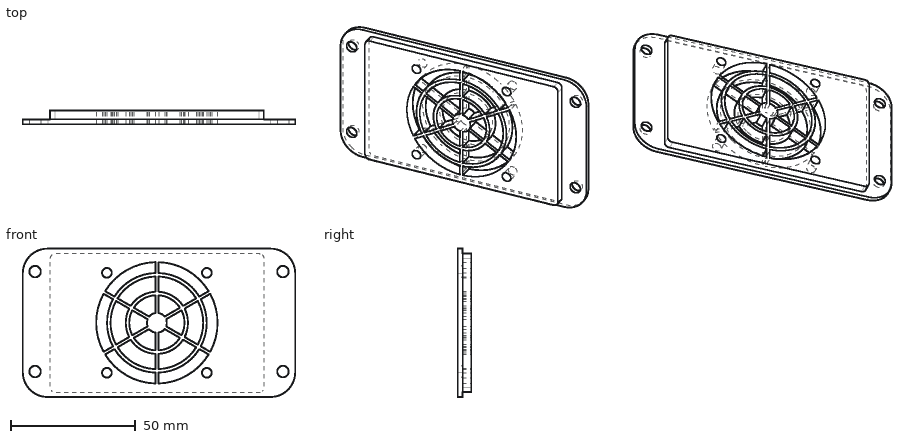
import cadquery as cq

plate_length = 109.15
plate_height = 59.5
plate_thickness = 2.0
plate_corner_radius = 10.0

block_length = 85.6
block_height = 55.5
block_thickness = 3.6
block_corner_radius = 2.0

fan_center_x = -0.85
total_thickness = plate_thickness + block_thickness

mount_center_z = 0.5
mount_hole_diameter = 4.5
mount_spacing_x = 99.2
mount_spacing_z = 40.0

fan_hole_diameter = 3.8
fan_hole_spacing = 40.0

opening_diameter = 48.5
ring_outer_diameters = (25.0, 40.0)
ring_width = 1.5
hub_diameter = 8.0
spoke_width = 1.3
spoke_bar_count = 3
spoke_bar_step = 180.0 / spoke_bar_count


def sketch_plane(center_x=0.0, y=0.0):
    """XZ workplane whose normal points to +Y; its local x runs along +X, local y along -Z."""
    return cq.Workplane(cq.Plane(origin=(center_x, y, 0), xDir=(1, 0, 0), normal=(0, 1, 0)))


def rounded_slab(center_x, y, length, height, thickness, corner_radius):
    slab = sketch_plane(center_x, y).rect(length, height).extrude(thickness)
    return slab.edges("|Y").fillet(corner_radius)


def disc(diameter):
    """Cylinder on the fan axis through the full thickness."""
    return sketch_plane(fan_center_x).circle(diameter / 2).extrude(total_thickness)


def hole_pattern(center_x, spacing_x, spacing_z, diameter):
    """Four through holes on the corners of a rectangle."""
    centers = sketch_plane(center_x).rect(spacing_x, spacing_z, forConstruction=True).vertices()
    return centers.circle(diameter / 2).extrude(total_thickness)


def fan_guard():
    """Hub, concentric rings and diametral spoke bars, trimmed to the fan opening."""
    guard = disc(hub_diameter)
    for outer_diameter in ring_outer_diameters:
        ring = disc(outer_diameter).cut(disc(outer_diameter - 2 * ring_width))
        guard = guard.union(ring)
    for index in range(spoke_bar_count):
        bar = sketch_plane(fan_center_x).transformed(rotate=(0, 0, index * spoke_bar_step))
        guard = guard.union(bar.rect(spoke_width, opening_diameter).extrude(total_thickness))
    return guard.intersect(disc(opening_diameter))


def fan_vents():
    """Open areas between the bars of the fan guard."""
    return disc(opening_diameter).cut(fan_guard())


plate = rounded_slab(0, 0, plate_length, plate_height, plate_thickness, plate_corner_radius)
block = rounded_slab(
    fan_center_x, plate_thickness, block_length, block_height, block_thickness, block_corner_radius
)
mount_holes = hole_pattern(0, mount_spacing_x, mount_spacing_z, mount_hole_diameter)
fan_holes = hole_pattern(fan_center_x, fan_hole_spacing, fan_hole_spacing, fan_hole_diameter)

result = (
    plate.union(block)
    .cut(mount_holes.translate((0, 0, mount_center_z)))
    .cut(fan_holes)
    .cut(fan_vents())
)